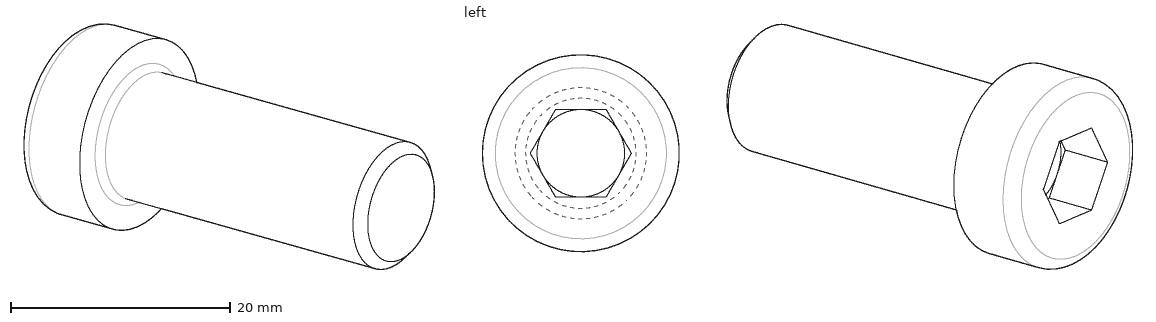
import cadquery as cq
import math

total_length = 37
head_diameter = 18.0
head_height = 7.0
head_round = 1.2
shank_diameter = 12.0
underhead_fillet = 0.65
tip_chamfer = 0.95

socket_across_flats = 8.0
socket_depth = 5.0
drill_point_angle = 120

head_radius = head_diameter / 2
shank_radius = shank_diameter / 2
socket_radius = socket_across_flats / 2
cone_depth = socket_radius / math.tan(math.radians(drill_point_angle / 2))


def make_body():
    """Revolve the half profile of head and shank about the X axis."""
    fillet_end_x = head_height + underhead_fillet
    fillet_outer_radius = shank_radius + underhead_fillet
    arc_inset = 1 - math.sqrt(0.5)
    round_inset = head_round * arc_inset
    fillet_inset = underhead_fillet * arc_inset
    return (
        cq.Workplane("XY")
        .lineTo(0, head_radius - head_round)
        .threePointArc((round_inset, head_radius - round_inset), (head_round, head_radius))
        .lineTo(head_height, head_radius)
        .lineTo(head_height, fillet_outer_radius)
        .threePointArc(
            (head_height + fillet_inset, shank_radius + fillet_inset),
            (fillet_end_x, shank_radius),
        )
        .lineTo(total_length - tip_chamfer, shank_radius)
        .lineTo(total_length, shank_radius - tip_chamfer)
        .lineTo(total_length, 0)
        .close()
        .revolve(360, (0, 0), (1, 0))
    )


def make_socket():
    """Hexagonal recess with corners toward +Y and -Y, ending in a cone."""
    across_corners = socket_across_flats / math.cos(math.pi / 6)
    hexagon = cq.Workplane("YZ").polygon(6, across_corners).extrude(socket_depth)
    cone = cq.Workplane(
        cq.Solid.makeCone(
            socket_radius, 0, cone_depth,
            pnt=cq.Vector(socket_depth, 0, 0),
            dir=cq.Vector(1, 0, 0),
        )
    )
    return hexagon.union(cone)


result = make_body().cut(make_socket())